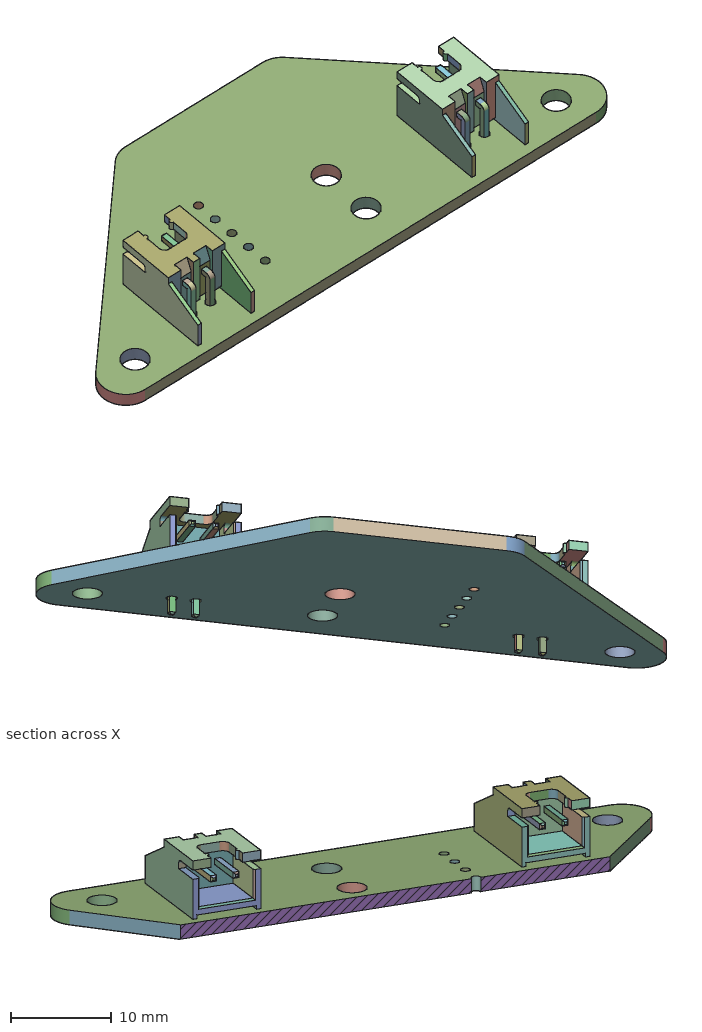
import cadquery as cq

board_length = 65.05
board_width = 26.85
board_thickness = 1.55
corner_radius = 3.0
short_edge_half = 9.0
mounting_hole_diameter = 3.0
end_hole_x = 23.0
end_hole_y = 27.6
middle_hole_xs = (16.0, 22.05)
middle_hole_y = 3.5
header_hole_diameter = 1.0
header_hole_count = 5
header_hole_pitch = 2.55
header_centre_x = middle_hole_xs[0]
header_y = -8.85

connector_front_x = 14.3
connector_offset_y = 17.95
connector_width = 7.4
connector_length = 11.4
connector_height = 6.2
roof_length = 6.9
roof_thickness = 1.0
wing_start_height = 5.35
wing_end_height = 2.9
wing_thickness = 0.45

cavity_side_wall = 0.8
cavity_depth = 4.9
cavity_width = connector_width - 2 * cavity_side_wall
floor_top = 1.2
floor_underside = 0.4
entry_chamfer = 0.2
cavity_top = connector_height - roof_thickness

side_slot_depth = 3.4
side_slot_height = 1.0
side_slot_radius = 0.4
roof_slot_depth = 3.9
roof_slot_width = 3.45
roof_slot_radius = 0.7
latch_bump_x = 1.1
latch_bump_radius = 0.25

pin_pitch = 2.5
pin_size = 0.65
pin_height = 3.8
pin_setback = 0.3
pin_bend_x = 7.55
pin_total_drop = 3.3
pin_bend_radius = 0.6
pin_tip_chamfer = 0.2
pin_hole_diameter = 1.1
notch_width = 1.6
notch_length = 1.0
notch_ramp_length = 0.65
notch_depth = 1.55

pin_ys = (-pin_pitch / 2, pin_pitch / 2)
connector_ys = (-connector_offset_y, connector_offset_y)
overshoot = 0.65


def block(x_start, x_end, width, z_start, z_end):
    """A box centred on Y = 0 between the given X and Z limits."""
    return (
        cq.Workplane("XY")
        .box(x_end - x_start, width, z_end - z_start, centered=(False, True, False))
        .translate((x_start, 0, z_start))
    )


def extrude_side_profile(points, width):
    """An XZ outline extruded evenly to both sides of Y = 0."""
    return cq.Workplane("XZ").polyline(points).close().extrude(width / 2, both=True)


def make_board():
    corner_x = board_width - corner_radius
    corner_y = board_length / 2 - corner_radius
    corner_centres = [
        (corner_radius, -short_edge_half),
        (corner_x, -corner_y),
        (corner_x, corner_y),
        (corner_radius, short_edge_half),
    ]
    board = (
        cq.Workplane("XY").polyline(corner_centres).close().offset2D(corner_radius).extrude(board_thickness)
    )
    mounting_holes = [(end_hole_x, y) for y in (-end_hole_y, end_hole_y)]
    mounting_holes += [(x, middle_hole_y) for x in middle_hole_xs]
    header_start_x = header_centre_x - (header_hole_count - 1) / 2 * header_hole_pitch
    header_holes = [(header_start_x + i * header_hole_pitch, header_y) for i in range(header_hole_count)]
    pin_holes = [
        (connector_front_x + pin_bend_x, centre_y + pin_y) for centre_y in connector_ys for pin_y in pin_ys
    ]
    for points, diameter in (
        (mounting_holes, mounting_hole_diameter),
        (header_holes, header_hole_diameter),
        (pin_holes, pin_hole_diameter),
    ):
        holes = cq.Workplane("XY").pushPoints(points).circle(diameter / 2).extrude(board_thickness)
        board = board.cut(holes)
    return board


def make_shell():
    """Side outline of the housing, opened between its wings and under its floor."""
    shell = extrude_side_profile(
        [
            (0, 0),
            (connector_length, 0),
            (connector_length, wing_end_height),
            (roof_length, wing_start_height),
            (roof_length, connector_height),
            (0, connector_height),
        ],
        connector_width,
    )
    inner_width = connector_width - 2 * wing_thickness
    rear_opening = block(roof_length, connector_length, inner_width, 0, connector_height)
    relief = block(0, connector_length, inner_width, 0, floor_underside)
    return shell.cut(rear_opening).cut(relief)


def make_cavity():
    """Socket for the plug, flared at its mouth along the floor and the side walls."""
    cavity = block(0, cavity_depth, cavity_width, floor_top, cavity_top)
    flare_width = cavity_width + 2 * entry_chamfer
    flare = (
        block(-overshoot, entry_chamfer, flare_width, floor_top - entry_chamfer, cavity_top)
        .edges(">X and (<Y or >Y or <Z)")
        .chamfer(entry_chamfer)
    )
    return cavity.union(flare)


def make_side_slot():
    return (
        block(-overshoot, side_slot_depth, connector_width, cavity_top - side_slot_height, cavity_top)
        .edges("|Y and >X and >Z")
        .fillet(side_slot_radius)
    )


def make_roof_slot():
    """Slot for the plug's latch, with a half-round bump on each side wall."""
    slot = (
        block(-overshoot, roof_slot_depth, roof_slot_width, cavity_top, connector_height)
        .edges("|Z and >X")
        .fillet(roof_slot_radius)
    )
    bump_centres = [(latch_bump_x, y) for y in (-roof_slot_width / 2, roof_slot_width / 2)]
    bumps = (
        cq.Workplane("XY", origin=(0, 0, cavity_top))
        .pushPoints(bump_centres)
        .circle(latch_bump_radius)
        .extrude(roof_thickness)
    )
    return slot.cut(bumps)


def make_notch():
    """Cut above a pin, with a ramp falling towards the back."""
    start_x = roof_length - notch_length
    ramp_end_x = start_x + notch_ramp_length
    notch_bottom = connector_height - notch_depth
    return extrude_side_profile(
        [
            (start_x, connector_height),
            (ramp_end_x, notch_bottom),
            (ramp_end_x, floor_underside),
            (roof_length, floor_underside),
            (roof_length, connector_height),
        ],
        notch_width,
    )


def make_pin():
    """Square pin running back through the rear wall, then down through the board."""
    half = pin_size / 2
    back_x = pin_bend_x + half
    pin = block(pin_setback, back_x, pin_size, pin_height - half, pin_height + half)
    leg = block(pin_bend_x - half, back_x, pin_size, -pin_total_drop, pin_height + half)
    pin = pin.union(leg).edges("|Y and >X and >Z").fillet(pin_bend_radius)
    return pin.faces("<X or <Z").chamfer(pin_tip_chamfer)


def make_connector(centre_y):
    connector = make_shell().cut(make_cavity()).cut(make_side_slot()).cut(make_roof_slot())
    for pin_y in pin_ys:
        connector = connector.cut(make_notch().translate((0, pin_y, 0)))
    for pin_y in pin_ys:
        connector = connector.union(make_pin().translate((0, pin_y, 0)))
    return connector.translate((connector_front_x, centre_y, board_thickness))


board = make_board()
connectors = [make_connector(centre_y) for centre_y in connector_ys]

result = cq.Compound.makeCompound([board.val(), *(connector.val() for connector in connectors)])